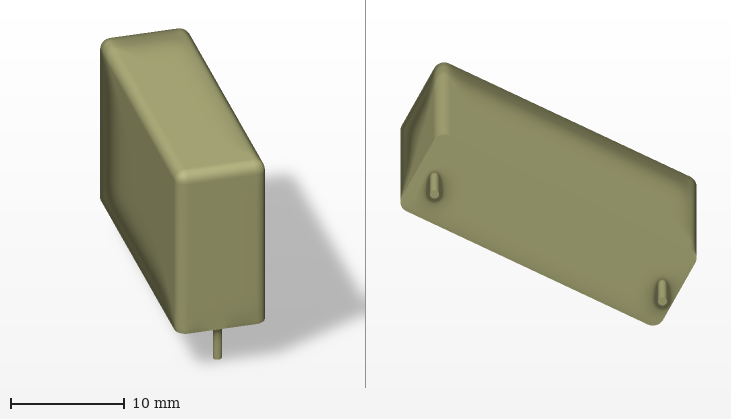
import cadquery as cq

housing_length = 25.8
housing_width = 8.2
housing_height = 16.1
edge_radius = 1.0

total_height = 19.9
lead_diameter = 0.8
lead_pitch = 22.5
lead_length = total_height - housing_height


def make_housing():
    """Box standing on Z = 0, rounded everywhere except around its flat base."""
    box = cq.Workplane("XY").box(
        housing_length, housing_width, housing_height, centered=(True, True, False)
    )
    return box.edges("|Z or >Z").fillet(edge_radius)


def make_lead(x):
    """Round lead hanging from the base of the housing at the given X."""
    return cq.Workplane("XY").center(x, 0).circle(lead_diameter / 2).extrude(-lead_length)


housing = make_housing()
leads = [make_lead(side * lead_pitch / 2) for side in (-1, 1)]

result = cq.Compound.makeCompound([housing.val(), *[lead.val() for lead in leads]])